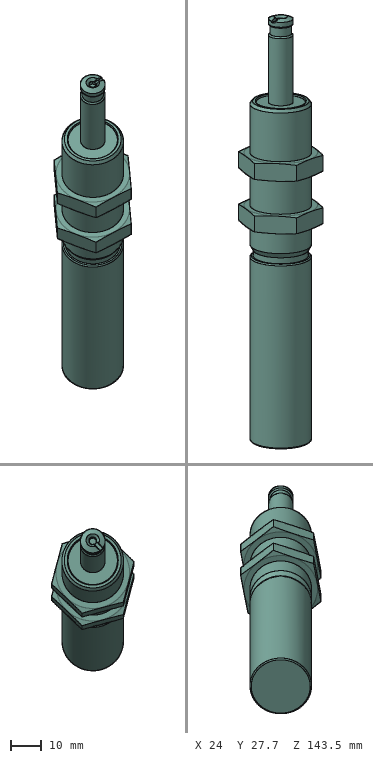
import cadquery as cq
import math

TOTAL_LENGTH = 143.5

HOUSING_DIAMETER = 20.0
HOUSING_TOP = 115.0
END_CHAMFER = 0.5
TOP_RIM_DIAMETER = 18.4
TOP_CHAMFER_HEIGHT = 1.0
TOP_RECESS_DIAMETER = 16.5
TOP_RECESS_FLOOR_DIAMETER = 16.0
TOP_RECESS_DEPTH = 0.5
RELIEF_DIAMETER = 18.0
RELIEF_BOTTOM = 62.6
RELIEF_TOP = 64.6
RELIEF_TAPER_TOP = 66.3

ROD_DIAMETER = 8.0
ROD_NECK_DIAMETER = 7.0
ROD_SHOULDER_CHAMFER = (ROD_DIAMETER - ROD_NECK_DIAMETER) / 2
ROD_NECK_BOTTOM = 137.8
HEAD_BOTTOM = 140.7
HEAD_CROWN_BASE = 142.8
COUNTERSINK_DIAMETER = 4.3
COUNTERSINK_DEPTH = 0.9
SOCKET_CORNER_DIAMETER = 2.6
SOCKET_DEPTH = 2.2
SLOT_WIDTH = 1.3
SLOT_DEPTH = 0.5

NUT_WIDTH_ACROSS_FLATS = 24.0
NUT_HEIGHT = 6.0
NUT_BOTTOMS = (73.6, 91.5)
NUT_CHAMFER_DIAMETER = 23.8
NUT_CHAMFER_ANGLE = 10.0


def make_damper():
    """Revolve the housing and rod, then cut the countersink, socket and slot in the rod head."""
    housing_radius = HOUSING_DIAMETER / 2
    relief_radius = RELIEF_DIAMETER / 2
    rod_radius = ROD_DIAMETER / 2
    neck_radius = ROD_NECK_DIAMETER / 2
    recess_floor = HOUSING_TOP - TOP_RECESS_DEPTH
    profile = [
        (0, 0),
        (housing_radius - END_CHAMFER, 0),
        (housing_radius, END_CHAMFER),
        (housing_radius, RELIEF_BOTTOM - END_CHAMFER),
        (housing_radius - END_CHAMFER, RELIEF_BOTTOM),
        (relief_radius, RELIEF_BOTTOM),
        (relief_radius, RELIEF_TOP),
        (housing_radius, RELIEF_TAPER_TOP),
        (housing_radius, HOUSING_TOP - TOP_CHAMFER_HEIGHT),
        (TOP_RIM_DIAMETER / 2, HOUSING_TOP),
        (TOP_RECESS_DIAMETER / 2, HOUSING_TOP),
        (TOP_RECESS_FLOOR_DIAMETER / 2, recess_floor),
        (rod_radius, recess_floor),
        (rod_radius, ROD_NECK_BOTTOM - ROD_SHOULDER_CHAMFER),
        (neck_radius, ROD_NECK_BOTTOM),
        (neck_radius, HEAD_BOTTOM),
        (rod_radius, HEAD_BOTTOM + ROD_SHOULDER_CHAMFER),
        (rod_radius, HEAD_CROWN_BASE),
        (COUNTERSINK_DIAMETER / 2, TOTAL_LENGTH),
        (0, TOTAL_LENGTH),
    ]
    damper = cq.Workplane("XZ").polyline(profile).close().revolve(360, (0, 0), (0, 1))
    return damper.cut(make_countersink()).cut(make_socket()).cut(make_slot())


def make_countersink():
    """Conical mouth that narrows to the corners of the hexagon socket."""
    floor = TOTAL_LENGTH - COUNTERSINK_DEPTH
    profile = [
        (0, floor),
        (SOCKET_CORNER_DIAMETER / 2, floor),
        (COUNTERSINK_DIAMETER / 2, TOTAL_LENGTH),
        (0, TOTAL_LENGTH),
    ]
    return cq.Workplane("XZ").polyline(profile).close().revolve(360, (0, 0), (0, 1))


def make_socket():
    """Hexagon socket in the rod head, with corners facing +Y and -Y."""
    socket = cq.Workplane("XY").polygon(6, SOCKET_CORNER_DIAMETER).extrude(SOCKET_DEPTH)
    return socket.rotate((0, 0, 0), (0, 0, 1), 30).translate((0, 0, TOTAL_LENGTH - SOCKET_DEPTH))


def make_slot():
    """Shallow radial slot from the socket out through the +Y side of the head."""
    floor = HEAD_CROWN_BASE - SLOT_DEPTH
    slot = cq.Workplane("XY").box(
        SLOT_WIDTH, ROD_DIAMETER / 2, TOTAL_LENGTH - floor, centered=(True, False, False)
    )
    return slot.translate((0, 0, floor))


def make_nut(bottom):
    """Hexagonal nut with its top and bottom corners chamfered and two flats facing +X and -X."""
    corner_radius = NUT_WIDTH_ACROSS_FLATS / math.sqrt(3)
    chamfer_radius = NUT_CHAMFER_DIAMETER / 2
    chamfer_drop = (corner_radius - chamfer_radius) * math.tan(math.radians(NUT_CHAMFER_ANGLE))
    hexagon = (
        cq.Workplane("XY")
        .polygon(6, 2 * corner_radius)
        .extrude(NUT_HEIGHT)
        .rotate((0, 0, 0), (0, 0, 1), 30)
    )
    chamfer_envelope = (
        cq.Workplane("XZ")
        .polyline([
            (0, 0),
            (chamfer_radius, 0),
            (corner_radius, chamfer_drop),
            (corner_radius, NUT_HEIGHT - chamfer_drop),
            (chamfer_radius, NUT_HEIGHT),
            (0, NUT_HEIGHT),
        ])
        .close()
        .revolve(360, (0, 0), (0, 1))
    )
    bore = cq.Workplane("XY").circle(HOUSING_DIAMETER / 2).extrude(NUT_HEIGHT)
    return hexagon.intersect(chamfer_envelope).cut(bore).translate((0, 0, bottom))


damper = make_damper()
nuts = [make_nut(bottom) for bottom in NUT_BOTTOMS]

result = cq.Compound.makeCompound([damper.val(), *[nut.val() for nut in nuts]])